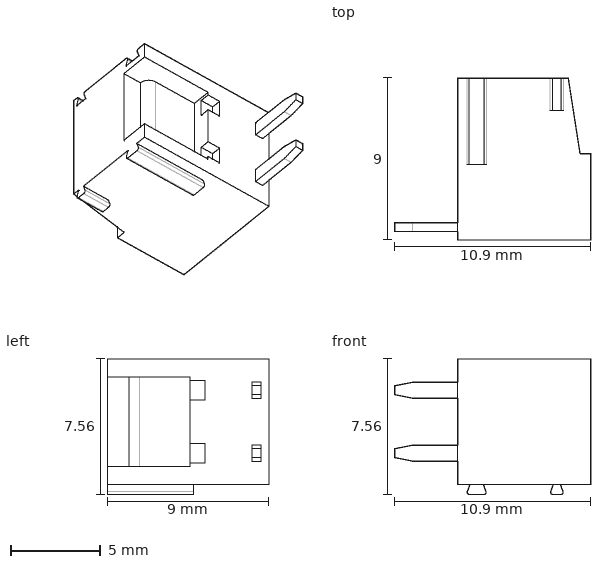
import cadquery as cq
import math

body_x = 7.4
body_y = 9.0
body_z = 7.0
step_x = 6.81
slope_end_x = 6.16
slope_y_length = 4.2

recess_wall = 1.0
recess_length = 4.6
recess_depth = 1.2
deep_length = 1.8
deep_radius = 0.6
deep_depth = recess_depth + deep_radius

pitch = 3.5
notch_y_length = 0.83
notch_z_height = 1.1
notch_depth = 0.6
pin_length = 3.5
pin_taper = 1.0
pin_width = 0.9
pin_tip_width = 0.5
pin_thickness = 0.5
pin_y = 0.72

rail_height = 0.56
rail_radius = 0.13
slot_depth = 0.57
slot_radius = 0.13
slot_clearance = 0.02
flank_angle = 20
large_dovetail = {"x": 1.06, "half_neck": 0.38, "length": 4.8}
small_dovetail = {"x": 5.52, "half_neck": 0.21, "length": 1.8}

pitch_levels = (body_z / 2 - pitch / 2, body_z / 2 + pitch / 2)


def box(x, y, z, corner):
    return cq.Workplane("XY").box(x, y, z, centered=False).translate(corner)


def housing():
    outline = [
        (0, 0),
        (body_x, 0),
        (body_x, body_y - slope_y_length),
        (step_x, body_y - slope_y_length),
        (slope_end_x, body_y),
        (0, body_y),
    ]
    return cq.Workplane("XY").polyline(outline).close().extrude(body_z)


def recess():
    inner_end = body_y - recess_length
    deep_start = body_y - deep_length
    half_arc = math.radians(45)
    arc_middle = (
        deep_depth - deep_radius * math.cos(half_arc),
        deep_start + deep_radius * math.sin(half_arc),
    )
    return (
        cq.Workplane("XY", origin=(0, 0, recess_wall))
        .moveTo(0, inner_end)
        .lineTo(recess_depth, inner_end)
        .lineTo(recess_depth, deep_start)
        .threePointArc(arc_middle, (deep_depth, deep_start + deep_radius))
        .lineTo(deep_depth, body_y)
        .lineTo(0, body_y)
        .close()
        .extrude(body_z - 2 * recess_wall)
    )


def notch(level):
    corner = (0, body_y - recess_length - notch_y_length, level - notch_z_height / 2)
    return box(notch_depth, notch_y_length, notch_z_height, corner)


def pin(level):
    half_width = pin_width / 2
    half_tip = pin_tip_width / 2
    outline = [
        (0, level - half_width),
        (0, level + half_width),
        (pin_taper - pin_length, level + half_width),
        (-pin_length, level + half_tip),
        (-pin_length, level - half_tip),
        (pin_taper - pin_length, level - half_width),
    ]
    start = (0, pin_y + pin_thickness / 2, 0)
    return cq.Workplane("XZ", origin=start).polyline(outline).close().extrude(pin_thickness)


def dovetail(x, half_neck, length, top_z, height):
    """Bar that widens downwards from top_z and ends flush with the +Y face."""
    half_base = half_neck + height * math.tan(math.radians(flank_angle))
    outline = [
        (x - half_neck, top_z),
        (x + half_neck, top_z),
        (x + half_base, top_z - height),
        (x - half_base, top_z - height),
    ]
    start = (0, body_y, 0)
    return cq.Workplane("XZ", origin=start).polyline(outline).close().extrude(length)


def rail(size):
    bar = dovetail(size["x"], size["half_neck"], size["length"], 0, rail_height)
    return bar.edges("|Y and <Z").fillet(rail_radius)


def cut_slot(part, size):
    half_neck = size["half_neck"] - slot_clearance
    slot = dovetail(size["x"], half_neck, size["length"], body_z, slot_depth)
    middle_y = body_y - size["length"] / 2
    part = part.cut(slot)
    for side in (-1, 1):
        rim_middle = (size["x"] + side * half_neck, middle_y, body_z)
        part = part.edges(cq.selectors.NearestToPointSelector(rim_middle)).fillet(slot_radius)
    return part


result = housing()
for dovetail_size in (large_dovetail, small_dovetail):
    result = cut_slot(result, dovetail_size)
    result = result.union(rail(dovetail_size))
result = result.cut(recess())
for level in pitch_levels:
    result = result.cut(notch(level)).union(pin(level))